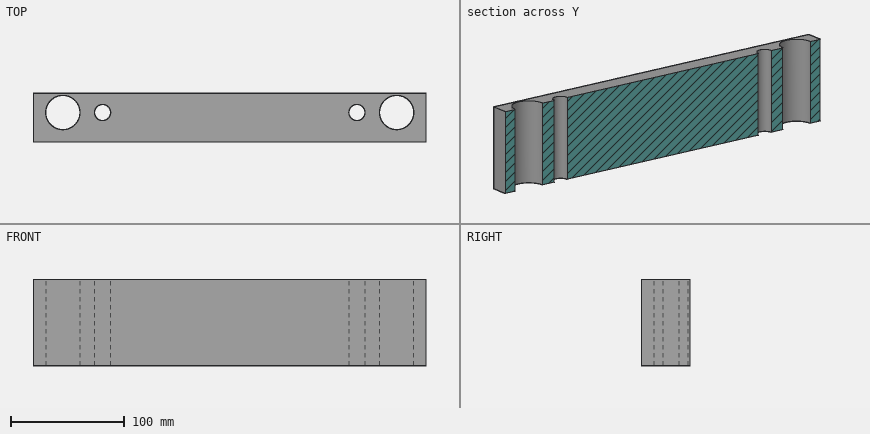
import cadquery as cq

length = 346.0
width = 43.0
height = 76.0

large_diameter = 30.0
large_spacing = 294.0
small_diameter = 14.0
small_spacing = 224.0
hole_row_to_back = 17.0
hole_row_y = width / 2 - hole_row_to_back


def make_block():
    """Plain rectangular block centred on the origin."""
    return cq.Workplane("XY").box(length, width, height)


def drill_pair(body, diameter, spacing):
    """Drill two through holes along Z, placed symmetrically in X."""
    centers = [(-spacing / 2, hole_row_y), (spacing / 2, hole_row_y)]
    return body.faces(">Z").workplane(origin=(0, 0, 0)).pushPoints(centers).hole(diameter)


result = make_block()
result = drill_pair(result, large_diameter, large_spacing)
result = drill_pair(result, small_diameter, small_spacing)